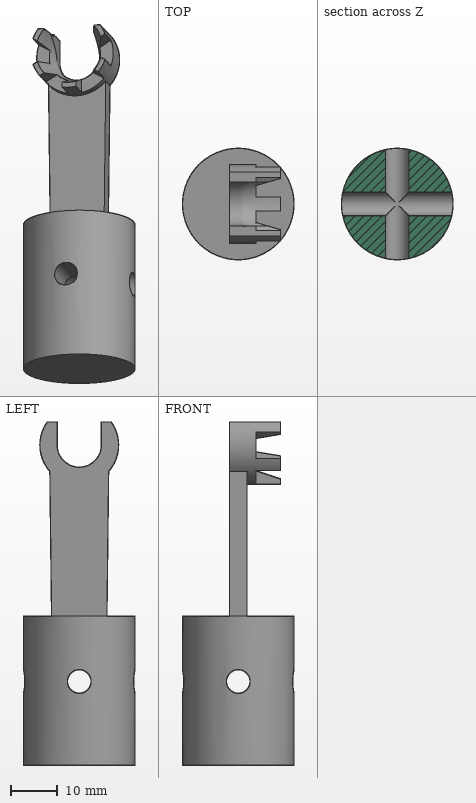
import cadquery as cq

base_diameter = 24.0
base_height = 32.0
pin_hole_diameter = 5.0
pin_hole_height = 18.0

overall_height = 73.8
stem_thickness = 3.85
stem_bottom_width = 11.95
stem_top_width = 12.7

head_radius = 8.5
slot_radius = 4.7
axis_to_top = 5.0
body_length = 5.75
tooth_length = 5.25
tooth_width = 3.0
tooth_angles = (30, 150, 210, 270, 330)

flare_length = 8.1
flare_tip_radius = 7.4

axis_z = overall_height - axis_to_top
head_back_x = -stem_thickness / 2
body_front_x = head_back_x + body_length
head_length = body_length + tooth_length
tip_x = head_back_x + head_length
flare_start_x = tip_x - flare_length


def head_plane(x):
    """Plane across the head axis: local x is Y, local y is Z, normal is +X."""
    return cq.Workplane("YZ", origin=(x, 0, axis_z))


def make_base():
    base = cq.Workplane("XY").circle(base_diameter / 2).extrude(base_height)
    for plane in ("XZ", "YZ"):
        hole = (
            cq.Workplane(plane)
            .center(0, pin_hole_height)
            .circle(pin_hole_diameter / 2)
            .extrude(base_diameter, both=True)
        )
        base = base.cut(hole)
    return base


def make_stem():
    """Stem widening upwards, ending where its corners meet the head rim."""
    stem_top_z = axis_z - (head_radius**2 - (stem_top_width / 2) ** 2) ** 0.5
    outline = [
        (-stem_bottom_width / 2, base_height),
        (stem_bottom_width / 2, base_height),
        (stem_top_width / 2, stem_top_z),
        (-stem_top_width / 2, stem_top_z),
    ]
    return cq.Workplane("YZ", origin=(head_back_x, 0, 0)).polyline(outline).close().extrude(stem_thickness)


def make_teeth():
    """Parallel-sided spokes, trimmed to the head cylinder."""
    spokes = head_plane(body_front_x).circle(slot_radius).extrude(tooth_length)
    for angle in tooth_angles:
        spoke = (
            head_plane(body_front_x)
            .transformed(rotate=(0, 0, angle))
            .center(head_radius, 0)
            .rect(2 * head_radius, tooth_width)
            .extrude(tooth_length)
        )
        spokes = spokes.union(spoke)
    rim = head_plane(body_front_x).circle(head_radius).extrude(tooth_length)
    return spokes.intersect(rim)


def make_head():
    body = head_plane(head_back_x).circle(head_radius).extrude(body_length)
    return body.union(make_teeth())


def cut_head_openings(part):
    """Flat top, round-bottomed slot and conical flare."""
    above_top = (
        head_plane(head_back_x)
        .center(0, axis_to_top + head_radius / 2)
        .rect(2 * head_radius, head_radius)
        .extrude(head_length)
    )
    slot_bottom = head_plane(head_back_x).circle(slot_radius).extrude(head_length)
    slot_walls = (
        head_plane(head_back_x)
        .center(0, head_radius / 2)
        .rect(2 * slot_radius, head_radius)
        .extrude(head_length)
    )
    flare = (
        head_plane(flare_start_x)
        .circle(slot_radius)
        .workplane(offset=flare_length)
        .circle(flare_tip_radius)
        .loft(ruled=True)
    )
    return part.cut(above_top).cut(slot_bottom).cut(slot_walls).cut(flare)


result = cut_head_openings(make_base().union(make_stem()).union(make_head()))